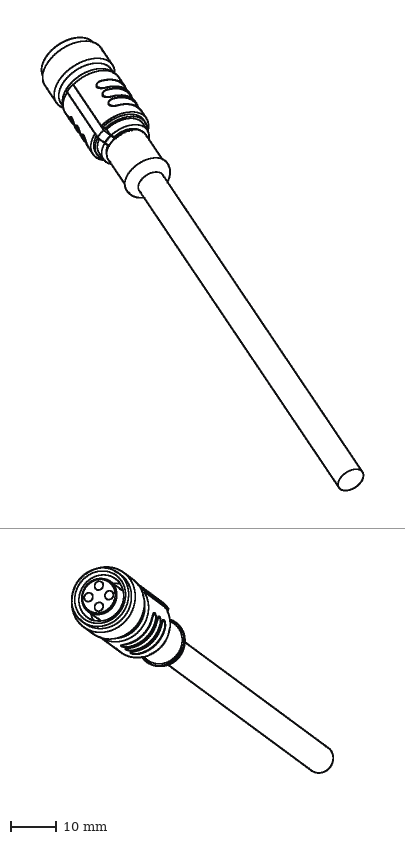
import cadquery as cq
import math

TOTAL_LENGTH = 142.2
CABLE_RADIUS = 3.1

INSERT_RADIUS = 4.1
INSERT_CHAMFER = 0.3
CONTACT_COUNT = 4
CONTACT_CIRCLE_RADIUS = 2.4
CONTACT_HOLE_RADIUS = 1.0
CONTACT_HOLE_DEPTH = 4.3

NUT_FRONT = 0.9
NUT_LIP_RADIUS = 6.7
NUT_GRIP_START = 3.0
NUT_GRIP_END = 8.8
NUT_GRIP_RADIUS = 15.0 / 2
NUT_FRONT_BEVEL = 0.3
NUT_REAR_BEVEL = 0.7
NUT_BACK = 11.4
NUT_BORE_RADIUS = 5.3
NUT_BORE_END = 8.8
NUT_MOUTH_CHAMFER = 0.7

NECK_RADIUS = 4.8
BODY_START = 12.5
BODY_END = 26.5
BODY_RADIUS = 7.1
STEP_END = 27.2
STEP_RADIUS = 6.4
SHOULDER_END = 29.3
SHOULDER_RADIUS = 5.8
GROOVE_RADIUS = 4.7
SLEEVE_START = 30.0
SLEEVE_RADIUS = 5.0

BEAD_START = 40.0
BEAD_END = 42.1
BEAD_RADIUS = 5.4
BEAD_END_RADIUS = 4.0

MARKER_ANGLE = 41.0
MARKER_HALF_WIDTH = 1.1
MARKER_RADIUS = 7.3
MARKER_SLOPE_START = 27.9

GRIP_COUNT = 3
GRIP_PITCH = 3.0
GRIP_WIDTH = 2.3
GRIP_LENGTH = 10.4
GRIP_DEPTH = 0.1
GRIP_CENTRE_X = 19.6


def cylinder(start, end, radius):
    """Solid cylinder on the X axis between two X positions."""
    return cq.Workplane("YZ", origin=(start, 0, 0)).circle(radius).extrude(end - start)


def revolved_outline():
    """Everything turned about the X axis, from the plug face to the cable end."""
    bead_middle_x = BEAD_START + (BEAD_END - BEAD_START) * math.sin(math.pi / 4)
    bead_middle_radius = BEAD_END_RADIUS + (BEAD_RADIUS - BEAD_END_RADIUS) * math.cos(math.pi / 4)
    return (
        cq.Workplane("XY")
        .moveTo(0, 0)
        .lineTo(0, INSERT_RADIUS - INSERT_CHAMFER)
        .lineTo(INSERT_CHAMFER, INSERT_RADIUS)
        .lineTo(NUT_FRONT, INSERT_RADIUS)
        .lineTo(NUT_FRONT, NUT_LIP_RADIUS)
        .lineTo(NUT_GRIP_START - NUT_FRONT_BEVEL, NUT_LIP_RADIUS)
        .lineTo(NUT_GRIP_START, NUT_GRIP_RADIUS)
        .lineTo(NUT_GRIP_END, NUT_GRIP_RADIUS)
        .lineTo(NUT_GRIP_END + NUT_REAR_BEVEL, NUT_LIP_RADIUS)
        .lineTo(NUT_BACK, NUT_LIP_RADIUS)
        .lineTo(NUT_BACK, NECK_RADIUS)
        .lineTo(BODY_START, NECK_RADIUS)
        .lineTo(BODY_START, BODY_RADIUS)
        .lineTo(BODY_END, BODY_RADIUS)
        .lineTo(BODY_END, STEP_RADIUS)
        .lineTo(STEP_END, STEP_RADIUS)
        .lineTo(STEP_END, SHOULDER_RADIUS)
        .lineTo(SHOULDER_END, SHOULDER_RADIUS)
        .lineTo(SHOULDER_END, GROOVE_RADIUS)
        .lineTo(SLEEVE_START, GROOVE_RADIUS)
        .lineTo(SLEEVE_START, SLEEVE_RADIUS)
        .lineTo(BEAD_START, SLEEVE_RADIUS)
        .lineTo(BEAD_START, BEAD_RADIUS)
        .threePointArc((bead_middle_x, bead_middle_radius), (BEAD_END, BEAD_END_RADIUS))
        .lineTo(BEAD_END, CABLE_RADIUS)
        .lineTo(TOTAL_LENGTH, CABLE_RADIUS)
        .lineTo(TOTAL_LENGTH, 0)
        .close()
        .revolve(360, (0, 0, 0), (1, 0, 0))
    )


def nut_bore():
    """Ring-shaped space between the insert and the nut, chamfered at its mouth."""
    return (
        cq.Workplane("XY")
        .moveTo(NUT_FRONT, INSERT_RADIUS)
        .lineTo(NUT_FRONT, NUT_BORE_RADIUS + NUT_MOUTH_CHAMFER)
        .lineTo(NUT_FRONT + NUT_MOUTH_CHAMFER, NUT_BORE_RADIUS)
        .lineTo(NUT_BORE_END, NUT_BORE_RADIUS)
        .lineTo(NUT_BORE_END, INSERT_RADIUS)
        .close()
        .revolve(360, (0, 0, 0), (1, 0, 0))
    )


def contact_holes():
    """Blind holes for the contacts, evenly spaced in the insert face."""
    return (
        cq.Workplane("YZ")
        .polarArray(CONTACT_CIRCLE_RADIUS, 0, 360, CONTACT_COUNT)
        .circle(CONTACT_HOLE_RADIUS)
        .extrude(CONTACT_HOLE_DEPTH)
    )


def marker_rib():
    """Rib with a rounded top on the -Y side that slopes down to the sleeve at its rear end."""
    profile = (
        cq.Workplane("XY")
        .moveTo(BODY_START, 0)
        .lineTo(BODY_START, -MARKER_RADIUS)
        .lineTo(MARKER_SLOPE_START, -MARKER_RADIUS)
        .lineTo(SLEEVE_START, -SLEEVE_RADIUS)
        .lineTo(SLEEVE_START, 0)
        .close()
        .extrude(MARKER_HALF_WIDTH, both=True)
    )
    return profile.intersect(cylinder(BODY_START, SLEEVE_START, MARKER_RADIUS))


def grip_pockets():
    """Pockets of even depth in the +Z and -Z sides of the body."""
    slots = (
        cq.Workplane("XY", origin=(GRIP_CENTRE_X, 0, 0))
        .rarray(GRIP_PITCH, 1.4, GRIP_COUNT, 1)
        .slot2D(GRIP_LENGTH, GRIP_WIDTH, 90)
        .extrude(MARKER_RADIUS, both=True)
    )
    return slots.cut(cylinder(BODY_START, BODY_END, BODY_RADIUS - GRIP_DEPTH))


def turned_to_marker(shape):
    """Turn a shape about the X axis so that its -Y side faces the marker direction."""
    return shape.rotate((0, 0, 0), (1, 0, 0), -MARKER_ANGLE)


result = (
    revolved_outline()
    .cut(nut_bore())
    .cut(contact_holes())
    .union(turned_to_marker(marker_rib()))
    .cut(turned_to_marker(grip_pockets()))
)